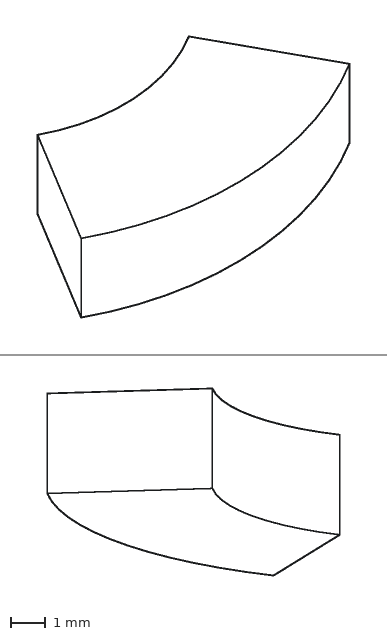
import cadquery as cq
import math

inner_radius = 6.2
outer_radius = 11.0
sweep_angle = 60.0
height = 3.0


def point_at(radius, angle):
    """XY point at a radius and an angle in degrees from the +X axis."""
    radians = math.radians(angle)
    return (radius * math.cos(radians), radius * math.sin(radians))


def ring_segment():
    """Sector of a flat ring with radial end faces, standing on the XY plane."""
    half_sweep = sweep_angle / 2
    return (
        cq.Workplane("XY")
        .moveTo(*point_at(inner_radius, -half_sweep))
        .lineTo(*point_at(outer_radius, -half_sweep))
        .threePointArc(point_at(outer_radius, 0), point_at(outer_radius, half_sweep))
        .lineTo(*point_at(inner_radius, half_sweep))
        .threePointArc(point_at(inner_radius, 0), point_at(inner_radius, -half_sweep))
        .close()
        .extrude(height)
    )


result = ring_segment()